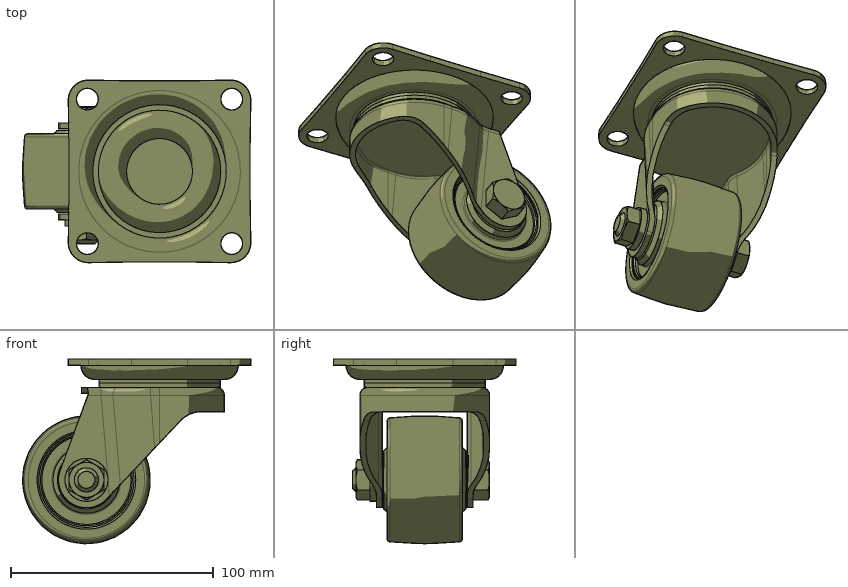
import cadquery as cq
import math


PLATE_SIZE = 90.0
PLATE_THICKNESS = 3.2
CORNER_RADIUS = 10.0
EDGE_RELIEF = 0.3
RELIEF_HALF_LENGTH = 13.8
HOLE_OFFSET = 35.5
HOLE_DIAMETER = 10.6

DISH_OUTER_RADIUS = 38.8
DISH_DEPTH = 7.0
DISH_FLOOR_RADIUS = 32.8
DOME_CREST_RADIUS = 23.2
SWIVEL_RING_RADIUS = 29.9
SWIVEL_JOINT_Z = -11.9

FORK_TOP_Z = -14.0
FORK_THICKNESS = 2.9
LEG_OUTER_Y = 23.8
SKIRT_RADIUS = 32.0
SKIRT_BOTTOM_Z = -26.0
FORK_EDGE_RADIUS = 3.9
FRONT_LIP_X = -38.6
LEG_FRONT_X = -35.0
LEG_END_RADIUS = 13.7
REAR_CORNER_X = 14.5
REAR_CORNER_RADIUS = 14.1
BEND_TOP_Z = -18.0
BEND_FRACTION = 0.24
FLARE_TOP = (-28.8, -4.4)
FLARE_SHIFT = (0.084, 0.079)

WHEEL_RADIUS = 31.5
AXLE_X = -36.0
AXLE_Z = -59.5
TYRE_HALF_WIDTH = 18.6
TREAD_HALF_WIDTH = 17.0
TREAD_EDGE_RADIUS = 30.6
TYRE_FACE_RADIUS = 28.7
TYRE_BORE_RADIUS = 23.4
TYRE_BORE_CHAMFER = 0.9
HUB_HALF_WIDTH = 20.2
HUB_FACE_HALF_WIDTH = 15.2
HUB_RIM_HALF_WIDTH = 17.1
HUB_RIM_INNER_RADIUS = 22.6
HUB_RIM_CHAMFER = 0.7
BOSS_RADIUS = 16.4
BOSS_CHAMFER = 2.1
BOSS_FOOT_RADIUS = 0.6

AXLE_RADIUS = 6.0
HEX_ACROSS_FLATS = 17.2
HEX_CORNER_CHAMFER = 0.7
HEAD_HEIGHT = 8.0
WASHER_RADIUS = 10.6
WASHER_THICKNESS = 3.2
NUT_HEIGHT = 6.9
TIP_CHAMFER = 1.8

WHEEL_BOTTOM_Z = AXLE_Z - WHEEL_RADIUS


def wheel_axis_cylinder(radius, y_from, y_to):
    """Cylinder on the wheel axis between two Y positions."""
    plane = cq.Workplane("XZ", origin=(AXLE_X, y_from, AXLE_Z))
    return plane.circle(radius).extrude(y_from - y_to)


def revolve_on_wheel_axis(profile):
    """Revolve an outline drawn as (radius, y) about the wheel axis."""
    return profile.revolve(360, (0, 0), (0, 1)).translate((AXLE_X, 0, AXLE_Z))


def turned(x, y, angle):
    """The point (x, y) turned about the origin by the angle in radians."""
    return (x * math.cos(angle) - y * math.sin(angle), x * math.sin(angle) + y * math.cos(angle))


def plate_blank():
    """Square plate with rounded corners and slightly drawn-in sides, starting at the +X +Y corner."""
    half = PLATE_SIZE / 2
    tangent = half - CORNER_RADIUS
    waist = half - EDGE_RELIEF
    arc_inset = half - CORNER_RADIUS * (1 - math.sqrt(0.5))
    outline = cq.Workplane("XY").moveTo(tangent, half)
    for quarter in range(4):
        angle = -math.pi / 2 * quarter
        arc_middle = turned(arc_inset, arc_inset, angle)
        outline = outline.threePointArc(arc_middle, turned(half, tangent, angle))
        outline = outline.lineTo(*turned(waist, RELIEF_HALF_LENGTH, angle))
        outline = outline.lineTo(*turned(waist, -RELIEF_HALF_LENGTH, angle))
        outline = outline.lineTo(*turned(half, -tangent, angle))
    return outline.close().extrude(-PLATE_THICKNESS)


def dish():
    """Pressed dish with the ring dome and the central disc, as one revolved section."""
    dome_inner = DOME_CREST_RADIUS - DISH_DEPTH
    dome_outer = DOME_CREST_RADIUS + DISH_DEPTH
    floor_bottom = -PLATE_THICKNESS - DISH_DEPTH
    return (
        cq.Workplane("XZ")
        .lineTo(dome_inner, 0)
        .lineTo(dome_inner, -DISH_DEPTH)
        .radiusArc((DOME_CREST_RADIUS, 0), DISH_DEPTH)
        .radiusArc((dome_outer, -DISH_DEPTH), DISH_DEPTH)
        .lineTo(DISH_FLOOR_RADIUS, -DISH_DEPTH)
        .radiusArc((DISH_FLOOR_RADIUS + DISH_DEPTH, 0), DISH_DEPTH)
        .lineTo(DISH_FLOOR_RADIUS + DISH_DEPTH, -PLATE_THICKNESS)
        .lineTo(DISH_OUTER_RADIUS, -PLATE_THICKNESS)
        .radiusArc((DISH_OUTER_RADIUS - DISH_DEPTH, floor_bottom), DISH_DEPTH)
        .lineTo(SWIVEL_RING_RADIUS, floor_bottom)
        .lineTo(SWIVEL_RING_RADIUS, SWIVEL_JOINT_Z)
        .lineTo(0, SWIVEL_JOINT_Z)
        .close()
        .revolve(360, (0, 0), (0, 1))
    )


def make_plate():
    """Mounting plate pressed into a dish, which carries the swivel ring under its floor."""
    opening = cq.Workplane("XY").circle(DISH_FLOOR_RADIUS + DISH_DEPTH).extrude(-PLATE_THICKNESS)
    holes = (
        cq.Workplane("XY")
        .rect(2 * HOLE_OFFSET, 2 * HOLE_OFFSET, forConstruction=True)
        .vertices()
        .circle(HOLE_DIAMETER / 2)
        .extrude(-PLATE_THICKNESS)
    )
    return plate_blank().cut(opening).cut(holes).union(dish())


def flare_points(z, inset):
    """Start, inflection and end of the S-bend that widens a leg into the skirt, for y > 0."""
    drop = BEND_TOP_Z - z
    start_x, end_x = (x + shift * drop for x, shift in zip(FLARE_TOP, FLARE_SHIFT))
    start_y = LEG_OUTER_Y - inset
    end_y = SKIRT_RADIUS - inset
    inflection_x = start_x + BEND_FRACTION * (end_x - start_x)
    inflection_y = start_y + BEND_FRACTION * (end_y - start_y)
    return (start_x, start_y), (inflection_x, inflection_y), (end_x, end_y)


def flare_arc_middle(flat_end, inflection):
    """Middle point of the arc that leaves flat_end parallel to X and reaches the inflection."""
    run = inflection[0] - flat_end[0]
    rise = inflection[1] - flat_end[1]
    radius = (run**2 + rise**2) / (2 * abs(rise))
    half_turn = math.atan2(abs(rise), abs(run))
    return (
        flat_end[0] + math.copysign(radius * math.sin(half_turn), run),
        flat_end[1] + math.copysign(radius * (1 - math.cos(half_turn)), rise),
    )


def plan_wire(z, front_x, inset):
    """Plan outline of the fork at height z, open-ended toward the front and reduced by the inset."""
    start, inflection, end = flare_points(z, inset)
    first_mid = flare_arc_middle(start, inflection)
    second_mid = flare_arc_middle(end, inflection)

    def mirrored(point):
        return (point[0], -point[1])

    rear_radius = SKIRT_RADIUS - inset
    return (
        cq.Workplane("XY", origin=(0, 0, z))
        .moveTo(front_x, start[1])
        .lineTo(*start)
        .threePointArc(first_mid, inflection)
        .threePointArc(second_mid, end)
        .lineTo(0, rear_radius)
        .threePointArc((rear_radius, 0), (0, -rear_radius))
        .lineTo(*mirrored(end))
        .threePointArc(mirrored(second_mid), mirrored(inflection))
        .threePointArc(mirrored(first_mid), mirrored(start))
        .lineTo(front_x, -start[1])
        .close()
        .val()
    )


def plan_solid(top_z, front_x, inset):
    """Solid from top_z down past the leg ends, with the flare shifting as it descends."""
    wires = [plan_wire(z, front_x, inset) for z in (top_z, WHEEL_BOTTOM_Z)]
    return cq.Workplane(obj=cq.Solid.makeLoft(wires, True))


def leg_tangent_point(x, z, side):
    """Point where the line from (x, z) touches the round leg end; side is +1 or -1."""
    distance = math.hypot(x - AXLE_X, z - AXLE_Z)
    angle = math.atan2(z - AXLE_Z, x - AXLE_X) + side * math.acos(LEG_END_RADIUS / distance)
    return (AXLE_X + LEG_END_RADIUS * math.cos(angle), AXLE_Z + LEG_END_RADIUS * math.sin(angle))


def side_profile():
    """Outline of the fork seen along Y, as a slab wider than the fork."""
    ceiling_z = FORK_TOP_Z - FORK_THICKNESS
    front_x = FRONT_LIP_X - FORK_EDGE_RADIUS
    rear_x = SKIRT_RADIUS + FORK_THICKNESS
    front_touch = leg_tangent_point(LEG_FRONT_X, ceiling_z, 1)
    rear_touch = leg_tangent_point(REAR_CORNER_X, SKIRT_BOTTOM_Z, -1)
    slope = math.atan2(SKIRT_BOTTOM_Z - rear_touch[1], REAR_CORNER_X - rear_touch[0])
    setback = REAR_CORNER_RADIUS * math.tan(slope / 2)
    arc_start = (REAR_CORNER_X - setback * math.cos(slope), SKIRT_BOTTOM_Z - setback * math.sin(slope))
    return (
        cq.Workplane("XZ")
        .moveTo(front_x, FORK_TOP_Z)
        .lineTo(front_x, ceiling_z)
        .lineTo(LEG_FRONT_X, ceiling_z)
        .lineTo(*front_touch)
        .threePointArc((AXLE_X, AXLE_Z - LEG_END_RADIUS), rear_touch)
        .lineTo(*arc_start)
        .radiusArc((REAR_CORNER_X + setback, SKIRT_BOTTOM_Z), REAR_CORNER_RADIUS)
        .lineTo(rear_x, SKIRT_BOTTOM_Z)
        .lineTo(rear_x, FORK_TOP_Z)
        .close()
        .extrude(rear_x, both=True)
    )


def front_lip_trim():
    """Material to remove ahead of the bowed front lip of the fork's top wall."""
    past_lip_x = FRONT_LIP_X - SKIRT_RADIUS
    return (
        cq.Workplane("XY", origin=(0, 0, FORK_TOP_Z))
        .moveTo(LEG_FRONT_X, LEG_OUTER_Y)
        .threePointArc((FRONT_LIP_X, 0), (LEG_FRONT_X, -LEG_OUTER_Y))
        .lineTo(past_lip_x, -LEG_OUTER_Y)
        .lineTo(past_lip_x, LEG_OUTER_Y)
        .close()
        .extrude(-FORK_THICKNESS)
    )


def make_fork():
    """Sheet shell with two flared legs, a bowed front lip and the swivel ring on top."""
    outer_front_x = AXLE_X - SKIRT_RADIUS
    inner_front_x = outer_front_x - SKIRT_RADIUS
    outer = plan_solid(FORK_TOP_Z, outer_front_x, 0)
    outer = outer.faces(">Z").edges("not <X").fillet(FORK_EDGE_RADIUS)
    inner = plan_solid(FORK_TOP_Z - FORK_THICKNESS, inner_front_x, FORK_THICKNESS)
    inner = inner.faces(">Z").edges("not <X").fillet(FORK_EDGE_RADIUS - FORK_THICKNESS)
    ring = cq.Workplane("XY", origin=(0, 0, FORK_TOP_Z)).circle(SWIVEL_RING_RADIUS)
    ring = ring.extrude(SWIVEL_JOINT_Z - FORK_TOP_Z)
    axle_hole = wheel_axis_cylinder(AXLE_RADIUS, -SKIRT_RADIUS, SKIRT_RADIUS)
    shell = outer.cut(inner).intersect(side_profile()).cut(front_lip_trim())
    return shell.cut(axle_hole).union(ring)


def make_tyre():
    """Crowned tread with rounded shoulders and a chamfered bore."""
    corner_turn = math.sqrt(0.5)
    corner_mid = (
        TYRE_FACE_RADIUS + (TREAD_EDGE_RADIUS - TYRE_FACE_RADIUS) * corner_turn,
        TREAD_HALF_WIDTH + (TYRE_HALF_WIDTH - TREAD_HALF_WIDTH) * corner_turn,
    )
    chamfer_radius = TYRE_BORE_RADIUS + TYRE_BORE_CHAMFER
    chamfer_y = TYRE_HALF_WIDTH - TYRE_BORE_CHAMFER
    profile = (
        cq.Workplane("XY")
        .moveTo(TYRE_BORE_RADIUS, -chamfer_y)
        .lineTo(TYRE_BORE_RADIUS, chamfer_y)
        .lineTo(chamfer_radius, TYRE_HALF_WIDTH)
        .lineTo(TYRE_FACE_RADIUS, TYRE_HALF_WIDTH)
        .threePointArc(corner_mid, (TREAD_EDGE_RADIUS, TREAD_HALF_WIDTH))
        .threePointArc((WHEEL_RADIUS, 0), (TREAD_EDGE_RADIUS, -TREAD_HALF_WIDTH))
        .threePointArc((corner_mid[0], -corner_mid[1]), (TYRE_FACE_RADIUS, -TYRE_HALF_WIDTH))
        .lineTo(chamfer_radius, -TYRE_HALF_WIDTH)
        .close()
    )
    return revolve_on_wheel_axis(profile)


def make_hub():
    """Wheel centre with recessed faces, a chamfered rim and a boss on both sides."""
    foot_y = HUB_FACE_HALF_WIDTH + BOSS_FOOT_RADIUS
    half_hub = (
        cq.Workplane("XY")
        .moveTo(AXLE_RADIUS, 0)
        .lineTo(AXLE_RADIUS, HUB_HALF_WIDTH)
        .lineTo(BOSS_RADIUS - BOSS_CHAMFER, HUB_HALF_WIDTH)
        .lineTo(BOSS_RADIUS, HUB_HALF_WIDTH - BOSS_CHAMFER)
        .lineTo(BOSS_RADIUS, foot_y)
        .radiusArc((BOSS_RADIUS + BOSS_FOOT_RADIUS, HUB_FACE_HALF_WIDTH), -BOSS_FOOT_RADIUS)
        .lineTo(HUB_RIM_INNER_RADIUS - HUB_RIM_CHAMFER, HUB_FACE_HALF_WIDTH)
        .lineTo(HUB_RIM_INNER_RADIUS - HUB_RIM_CHAMFER, HUB_RIM_HALF_WIDTH - HUB_RIM_CHAMFER)
        .lineTo(HUB_RIM_INNER_RADIUS, HUB_RIM_HALF_WIDTH)
        .lineTo(TYRE_BORE_RADIUS, HUB_RIM_HALF_WIDTH)
        .lineTo(TYRE_BORE_RADIUS, 0)
        .close()
    )
    half = revolve_on_wheel_axis(half_hub)
    return half.union(half.mirror("XZ"))


def hex_block(y_inner, y_outer):
    """Hexagon on the wheel axis, corners up and down, with its outer corners chamfered."""
    height = abs(y_outer - y_inner)
    corner_radius = HEX_ACROSS_FLATS / math.sqrt(3)
    corners = cq.Workplane("XY").polygon(6, 2 * corner_radius).extrude(height)
    trim = cq.Workplane("XY").circle(corner_radius).extrude(height)
    trim = trim.faces(">Z").chamfer(HEX_CORNER_CHAMFER, corner_radius - HEX_ACROSS_FLATS / 2)
    tilt = -90 if y_outer > y_inner else 90
    block = corners.intersect(trim).rotate((0, 0, 0), (0, 0, 1), 90)
    return block.rotate((0, 0, 0), (1, 0, 0), tilt).translate((AXLE_X, y_inner, AXLE_Z))


def make_axle():
    """Bolt, washer and nut fastened together as one body through fork and hub."""
    head_end = LEG_OUTER_Y + HEAD_HEIGHT
    washer_end = -LEG_OUTER_Y - WASHER_THICKNESS
    nut_end = washer_end - NUT_HEIGHT
    shank = wheel_axis_cylinder(AXLE_RADIUS, nut_end - TIP_CHAMFER, LEG_OUTER_Y)
    shank = shank.faces("<Y").chamfer(TIP_CHAMFER)
    washer = wheel_axis_cylinder(WASHER_RADIUS, washer_end, -LEG_OUTER_Y)
    head = hex_block(LEG_OUTER_Y, head_end)
    nut = hex_block(washer_end, nut_end)
    return shank.union(washer).union(head).union(nut)


plate = make_plate()
fork = make_fork()
tyre = make_tyre()
hub = make_hub()
axle = make_axle()

bodies = [plate, fork, tyre, hub, axle]
result = cq.Compound.makeCompound([body.solids().val() for body in bodies])